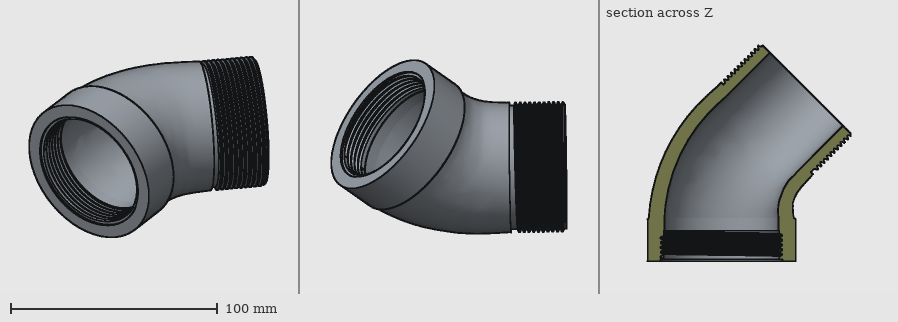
import cadquery as cq
import math

bend_angle = 45.0
socket_length = 20.9
bend_tangent = 21.3
outlet_leg = 58.1
thread_length = 28.2
bend_radius = bend_tangent / math.tan(math.radians(bend_angle / 2))
bend_length = bend_radius * math.radians(bend_angle)
straight_length = outlet_leg - thread_length - bend_tangent
body_length = bend_length + straight_length

socket_diameter = 72.0
body_start_diameter = 70.5
shoulder_chamfer = 0.5
outlet_diameter = 63.0
inlet_bore = 55.1
outlet_bore = 50.0

pitch = 2.3
thread_depth = 1.5
thread_overlap = 0.1
crest_width = 0.4
root_width = 0.4
outlet_band = 1.4
outlet_thread_start = 3.5
outlet_turns = 10.8
outlet_chamfer = 1.2
socket_mouth_diameter = 59.0
socket_mouth_depth = 1.0
socket_thread_minor = 55.8
socket_turns = 5.0
socket_thread_start = socket_mouth_depth + pitch / 2
socket_thread_length = socket_thread_start + (socket_turns + 0.5) * pitch

section_count = 9
taper_exponent = 1.3


def centreline_plane(distance):
    """Plane across the body centreline, at a distance from the socket shoulder."""
    angle = min(distance, bend_length) / bend_radius
    straight = max(distance - bend_length, 0)
    x = bend_radius * (1 - math.cos(angle)) + straight * math.sin(angle)
    y = socket_length + bend_radius * math.sin(angle) + straight * math.cos(angle)
    return cq.Plane(
        origin=(x, y, 0),
        xDir=(-math.cos(angle), math.sin(angle), 0),
        normal=(math.sin(angle), math.cos(angle), 0),
    )


def tapered_bend(start_diameter, end_diameter):
    """Round body that follows the centreline and narrows faster at its start."""
    sections = []
    for index in range(section_count):
        fraction = index / (section_count - 1)
        taper = 1 - (1 - fraction) ** taper_exponent
        diameter = start_diameter + taper * (end_diameter - start_diameter)
        plane = centreline_plane(fraction * body_length)
        sections.append(cq.Workplane(plane).circle(diameter / 2).wire().val())
    return cq.Workplane(cq.Solid.makeLoft(sections))


def revolved(plane, profile):
    """Solid of revolution about the plane normal; profile points are (radius, distance)."""
    axis_plane = cq.Plane(origin=plane.origin, xDir=plane.xDir, normal=plane.yDir * -1)
    return (
        cq.Workplane(axis_plane)
        .polyline(profile)
        .close()
        .revolve(360, (0, 0), (0, 1))
    )


def helical_thread(plane, start, turns, buried_radius, tip_radius):
    """Trapezoidal right-hand thread; its wide foot is at the buried radius."""
    half_foot = (pitch - root_width) / 2
    half_tip = crest_width / 2
    path = cq.Wire.makeHelix(pitch, turns * pitch, buried_radius)
    thread = (
        cq.Workplane("XZ")
        .polyline(
            [
                (buried_radius, -half_foot),
                (tip_radius, -half_tip),
                (tip_radius, half_tip),
                (buried_radius, half_foot),
            ]
        )
        .close()
        .sweep(cq.Workplane(path), isFrenet=True)
        .translate((0, 0, start))
    )
    return cq.Workplane(thread.val().moved(plane.location))


def threaded_outlet():
    plane = centreline_plane(body_length)
    radius = outlet_diameter / 2
    root = radius - thread_depth
    core = revolved(
        plane,
        [
            (0, 0),
            (radius, 0),
            (radius, outlet_band),
            (root, outlet_band),
            (root, thread_length),
            (0, thread_length),
        ],
    )
    thread = helical_thread(plane, outlet_thread_start, outlet_turns, root - thread_overlap, radius)
    chamfer_cutter = revolved(
        plane,
        [
            (radius - outlet_chamfer, thread_length),
            (radius + outlet_chamfer, thread_length - 2 * outlet_chamfer),
            (radius + outlet_chamfer, thread_length + pitch),
            (0, thread_length + pitch),
            (0, thread_length),
        ],
    )
    return core.union(thread.cut(chamfer_cutter))


def socket_cavity():
    minor = socket_thread_minor / 2
    mouth = socket_mouth_diameter / 2
    plane = cq.Plane(origin=(0, 0, 0), xDir=(-1, 0, 0), normal=(0, 1, 0))
    core = revolved(
        plane,
        [
            (0, 0),
            (mouth, 0),
            (mouth, socket_mouth_depth),
            (minor, socket_mouth_depth),
            (minor, socket_thread_length),
            (inlet_bore / 2, socket_thread_length),
            (inlet_bore / 2, socket_length),
            (0, socket_length),
        ],
    )
    thread = helical_thread(
        plane, socket_thread_start, socket_turns, minor - thread_overlap, mouth - thread_overlap
    )
    return core.union(thread)


socket = cq.Workplane("XZ").circle(socket_diameter / 2).extrude(-socket_length)
socket = socket.faces(">Y").chamfer(shoulder_chamfer)
outer = socket.union(tapered_bend(body_start_diameter, outlet_diameter)).union(threaded_outlet())
outlet_passage = (
    cq.Workplane(centreline_plane(body_length)).circle(outlet_bore / 2).extrude(thread_length)
)
result = (
    outer.cut(tapered_bend(inlet_bore, outlet_bore))
    .cut(outlet_passage)
    .cut(socket_cavity())
)